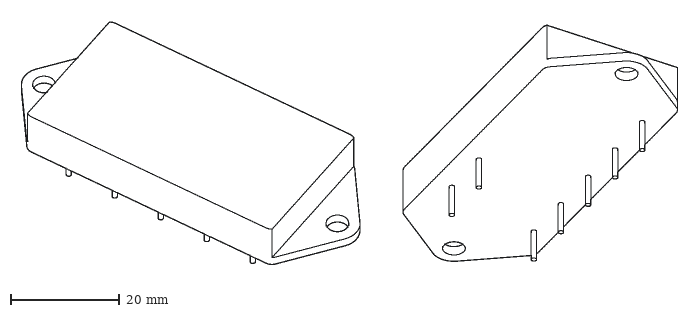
import cadquery as cq
import math

overall_length = 73.15
body_length = 54.0
body_width = 28.45
body_height = 9.53
shoulder_radius = 2.0
shoulder_center_x = 25.88

ear_thickness = 1.905
hole_spacing = 64.77
hole_diameter = 4.2

pin_diameter = 1.016
pin_length = 6.35
pin_pitch = 5.08
row_spacing = 4 * pin_pitch
front_row_steps = (-4, -2, 0, 2, 4)
back_row_steps = (1, 3)

hole_x = hole_spacing / 2
tip_radius = overall_length / 2 - hole_x
shoulder_center_y = body_width / 2 - shoulder_radius

center_offset_x = shoulder_center_x - hole_x
center_distance = math.hypot(center_offset_x, shoulder_center_y)
center_direction = math.atan2(shoulder_center_y, center_offset_x)
edge_normal = center_direction - math.acos((tip_radius - shoulder_radius) / center_distance)


def arc_point(center_x, center_y, radius, angle):
    return (center_x + radius * math.cos(angle), center_y + radius * math.sin(angle))


def make_outline():
    """Plan shape of the body and ears: two end arcs and four shoulder arcs joined by tangent lines."""
    tip_x, tip_y = arc_point(hole_x, 0, tip_radius, edge_normal)
    edge_x, edge_y = arc_point(shoulder_center_x, shoulder_center_y, shoulder_radius, edge_normal)
    bend_angle = (edge_normal + math.pi / 2) / 2
    bend_x, bend_y = arc_point(shoulder_center_x, shoulder_center_y, shoulder_radius, bend_angle)
    top_x = shoulder_center_x
    top_y = body_width / 2
    end_x = overall_length / 2
    return (
        cq.Workplane("XY")
        .moveTo(tip_x, -tip_y)
        .threePointArc((end_x, 0), (tip_x, tip_y))
        .lineTo(edge_x, edge_y)
        .threePointArc((bend_x, bend_y), (top_x, top_y))
        .lineTo(-top_x, top_y)
        .threePointArc((-bend_x, bend_y), (-edge_x, edge_y))
        .lineTo(-tip_x, tip_y)
        .threePointArc((-end_x, 0), (-tip_x, -tip_y))
        .lineTo(-edge_x, -edge_y)
        .threePointArc((-bend_x, -bend_y), (-top_x, -top_y))
        .lineTo(top_x, -top_y)
        .threePointArc((bend_x, -bend_y), (edge_x, -edge_y))
        .close()
    )


def make_body():
    """Full-height body between square ends, with the thin drilled ears running past it."""
    ears = make_outline().extrude(ear_thickness)
    ears = (
        ears.faces("<Z")
        .workplane(origin=(0, 0, 0))
        .pushPoints([(-hole_x, 0), (hole_x, 0)])
        .hole(hole_diameter)
    )
    envelope = cq.Workplane("XY").box(
        body_length, body_width, body_height, centered=(True, True, False)
    )
    block = make_outline().extrude(body_height).intersect(envelope)
    return ears.union(block)


def make_pin_row(row_y, steps):
    """Round pins at the given multiples of the pitch, hanging from the underside."""
    positions = [(step * pin_pitch, row_y) for step in steps]
    return cq.Workplane("XY").pushPoints(positions).circle(pin_diameter / 2).extrude(-pin_length)


front_row = make_pin_row(-row_spacing / 2, front_row_steps)
back_row = make_pin_row(row_spacing / 2, back_row_steps)
result = make_body().union(front_row).union(back_row)